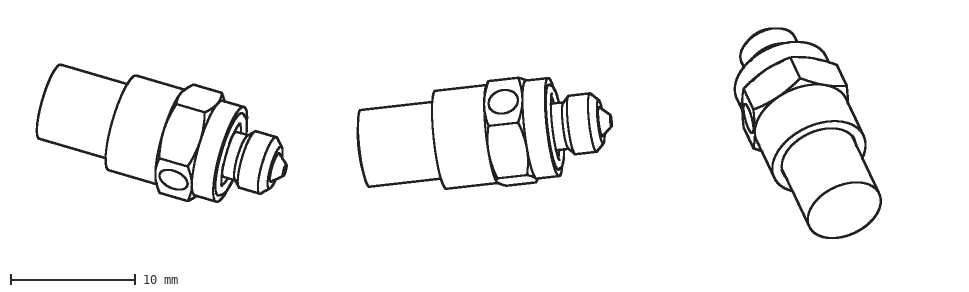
import cadquery as cq
import math

TOTAL_LENGTH = 20.47

PLUNGER_RADIUS = 3.11
DOME_HEIGHT = 0.39
PLUNGER_CLEARANCE = 0.06
PLUNGER_INSERTION = 2.05

BARREL_RADIUS = 3.97
BARREL_START = 6.6
BARREL_END = 15.8
HEX_START = 10.85
HEX_END = 13.98
HEX_CORNER_RADIUS = BARREL_RADIUS / math.cos(math.pi / 6)
HEX_CHAMFER_LENGTH = (HEX_CORNER_RADIUS - BARREL_RADIUS) * math.tan(math.pi / 6)
CROSS_HOLE_DIAMETER = 2.4

NECK_RADIUS = 1.88
NECK_END = 16.83
STUD_RADIUS = 2.37
STUD_SHOULDER_END = NECK_END + STUD_RADIUS - NECK_RADIUS
STUD_CHAMFER = 0.61
STUD_END = 19.65

RING_SECTION_RADIUS = 0.5
RING_CENTER_RADIUS = 2.99
RING_PROTRUSION = 0.3
RING_CENTER_X = BARREL_END + RING_PROTRUSION - RING_SECTION_RADIUS

TIP_RADIUS = 1.19
TIP_END_RADIUS = 0.47
TIP_INSERTION = 2.05


def revolve_about_x(profile):
    """Revolve a closed XY profile a full turn about the X axis."""
    return profile.close().revolve(360, (0, 0, 0), (1, 0, 0))


def cylinder_along_x(start, end, radius):
    return cq.Workplane("YZ").workplane(offset=start).circle(radius).extrude(end - start)


def make_plunger():
    dome_radius = (PLUNGER_RADIUS**2 + DOME_HEIGHT**2) / (2 * DOME_HEIGHT)
    half_angle = math.asin(PLUNGER_RADIUS / dome_radius) / 2
    dome_middle = (
        dome_radius * (1 - math.cos(half_angle)),
        dome_radius * math.sin(half_angle),
    )
    inner_end = BARREL_START + PLUNGER_INSERTION
    return revolve_about_x(
        cq.Workplane("XY")
        .moveTo(0, 0)
        .threePointArc(dome_middle, (DOME_HEIGHT, PLUNGER_RADIUS))
        .lineTo(inner_end, PLUNGER_RADIUS)
        .lineTo(inner_end, 0)
    )


def make_hex_collar():
    """Hexagon with flats on +Y and -Y, its corners chamfered conically at both ends."""
    hexagon = (
        cq.Workplane("YZ")
        .workplane(offset=HEX_START)
        .polygon(6, 2 * HEX_CORNER_RADIUS)
        .extrude(HEX_END - HEX_START)
        .rotate((0, 0, 0), (1, 0, 0), 90)
    )
    chamfer_envelope = revolve_about_x(
        cq.Workplane("XY")
        .moveTo(HEX_START, 0)
        .lineTo(HEX_START, BARREL_RADIUS)
        .lineTo(HEX_START + HEX_CHAMFER_LENGTH, HEX_CORNER_RADIUS)
        .lineTo(HEX_END - HEX_CHAMFER_LENGTH, HEX_CORNER_RADIUS)
        .lineTo(HEX_END, BARREL_RADIUS)
        .lineTo(HEX_END, 0)
    )
    return hexagon.intersect(chamfer_envelope)


def make_barrel_and_stud():
    return revolve_about_x(
        cq.Workplane("XY")
        .moveTo(BARREL_START, 0)
        .lineTo(BARREL_START, BARREL_RADIUS)
        .lineTo(BARREL_END, BARREL_RADIUS)
        .lineTo(BARREL_END, NECK_RADIUS)
        .lineTo(NECK_END, NECK_RADIUS)
        .lineTo(STUD_SHOULDER_END, STUD_RADIUS)
        .lineTo(STUD_END - STUD_CHAMFER, STUD_RADIUS)
        .lineTo(STUD_END, STUD_RADIUS - STUD_CHAMFER)
        .lineTo(STUD_END, 0)
    )


def make_cross_hole():
    """Cutter for the hole through both Y flats, midway along the collar."""
    return (
        cq.Workplane("XZ")
        .center((HEX_START + HEX_END) / 2, 0)
        .circle(CROSS_HOLE_DIAMETER / 2)
        .extrude(HEX_CORNER_RADIUS, both=True)
    )


def make_seal_ring():
    return (
        cq.Workplane("XY")
        .center(RING_CENTER_X, RING_CENTER_RADIUS)
        .circle(RING_SECTION_RADIUS)
        .revolve(360, (0, -RING_CENTER_RADIUS, 0), (1, -RING_CENTER_RADIUS, 0))
    )


def make_tip():
    inner_end = STUD_END - TIP_INSERTION
    return revolve_about_x(
        cq.Workplane("XY")
        .moveTo(inner_end, 0)
        .lineTo(inner_end, TIP_RADIUS)
        .lineTo(STUD_END, TIP_RADIUS)
        .lineTo(TOTAL_LENGTH, TIP_END_RADIUS)
        .lineTo(TOTAL_LENGTH, 0)
    )


def make_housing():
    plunger_bore = cylinder_along_x(
        BARREL_START, BARREL_START + PLUNGER_INSERTION, PLUNGER_RADIUS + PLUNGER_CLEARANCE
    )
    tip_bore = cylinder_along_x(STUD_END - TIP_INSERTION, STUD_END, TIP_RADIUS)
    ring_groove = make_seal_ring()
    return (
        make_barrel_and_stud()
        .union(make_hex_collar())
        .cut(make_cross_hole())
        .cut(plunger_bore)
        .cut(tip_bore)
        .cut(ring_groove)
    )


plunger = make_plunger()
housing = make_housing()
seal_ring = make_seal_ring()
tip = make_tip()

result = cq.Compound.makeCompound([plunger.val(), housing.val(), seal_ring.val(), tip.val()])